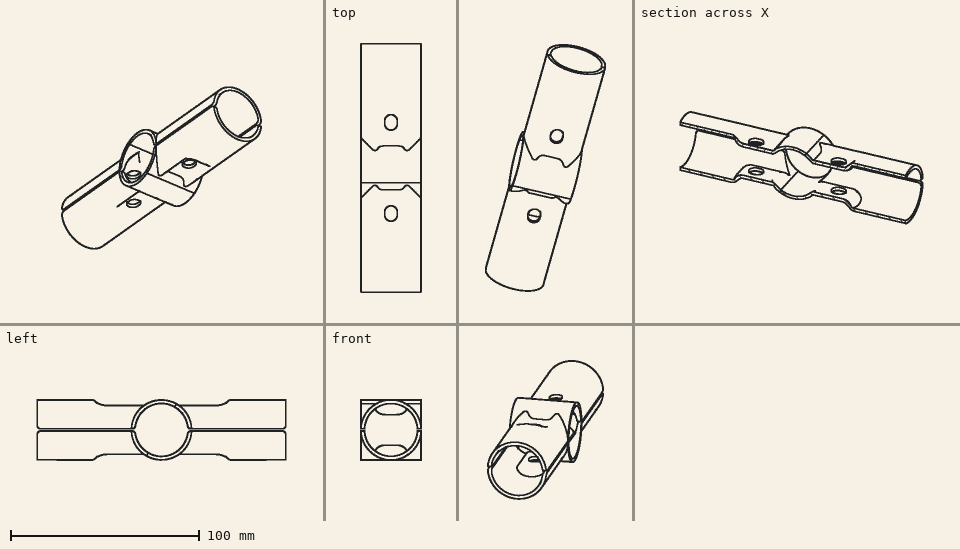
import cadquery as cq
import math

length = 132.0
outer_radius = 16.0
wall = 2.0
bore_radius = outer_radius - wall
half_length = length / 2
cross_half_width = outer_radius

half_gap = 0.5
corner_radius = 2.0

crown_half_angle = 30.0

floor_height = 10.0
floor_half_width = 3.3
floor_end = 29.0
floor_radius = 4.0
pocket_slope = 50.0
lip_radius = 2.0

rim_bottom = 13.3
rim_margin = 1.3

bulge_height = floor_height - wall
bulge_radius = floor_radius + wall
bulge_slope = 65.0

shoulder_face = 11.9
shoulder_radius = 4.8

slot_length = 8.0
slot_width = 6.6
slot_place = 24.2

beyond = outer_radius + 5.3


def cylinder_along_x(radius, half_width):
    return cq.Workplane("YZ").circle(radius).extrude(half_width, both=True)


def cylinder_along_y(radius):
    return cq.Workplane("XZ").circle(radius).extrude(-half_length)


def trough_wall(height, radius, slope_degrees):
    """Reach and height of the wall points: middle and end of the floor curve, then the top."""
    slope = math.radians(slope_degrees)
    middle = (radius * math.sin(slope / 2), height + radius * (1 - math.cos(slope / 2)))
    curve_end = (radius * math.sin(slope), height + radius * (1 - math.cos(slope)))
    top = (curve_end[0] + (beyond - curve_end[1]) / math.tan(slope), beyond)
    return middle, curve_end, top


def trough(height, radius, slope_degrees):
    """Everything above a flat floor with a curved, sloping wall on both sides and at the +Y end."""
    middle, curve_end, top = trough_wall(height, radius, slope_degrees)

    def half_section(plane):
        return (
            cq.Workplane(plane)
            .moveTo(0, height)
            .threePointArc(middle, curve_end)
            .lineTo(*top)
            .lineTo(0, beyond)
            .close()
        )

    body = (
        cq.Workplane("XY")
        .box(2 * floor_half_width, floor_end, beyond - height, centered=(True, False, False))
        .translate((0, 0, height))
    )
    side = half_section("XZ").extrude(-floor_end).translate((floor_half_width, 0, 0))
    end = half_section("YZ").extrude(floor_half_width, both=True).translate((0, floor_end, 0))
    corner = (
        half_section("XZ")
        .revolve(-90, (0, 0, 0), (0, 1, 0))
        .translate((floor_half_width, floor_end, 0))
    )
    return (
        body.union(side)
        .union(side.mirror("YZ"))
        .union(end)
        .union(corner)
        .union(corner.mirror("YZ"))
    )


def pocket():
    return trough(floor_height, floor_radius, pocket_slope)


def arm_tube():
    """Solid bar of the +Y arm with the open pocket and its rounded lip."""
    bar = cylinder_along_y(outer_radius).cut(pocket())
    rim_space = cq.selectors.BoxSelector(
        (-outer_radius, rim_margin, rim_bottom),
        (outer_radius, half_length - rim_margin, beyond),
    )
    return bar.edges(rim_space).fillet(lip_radius)


def shoulder():
    """Part of the cross tube that stays standing in front of the pocket, with a rounded top edge."""
    centre_y = shoulder_face - shoulder_radius
    centre_z = math.sqrt((outer_radius - shoulder_radius) ** 2 - centre_y**2)
    rise = beyond / centre_z
    block = (
        cq.Workplane("YZ")
        .polyline([(0, 0), (centre_y * rise, beyond), (0, beyond)])
        .close()
        .extrude(cross_half_width, both=True)
    )
    foot = cq.Workplane("XY").box(
        2 * cross_half_width, shoulder_face, centre_z, centered=(True, False, False)
    )
    rounding = cylinder_along_x(shoulder_radius, cross_half_width).translate((0, centre_y, centre_z))
    return block.union(foot).union(rounding)


def arm_passage():
    """Bore of the +Y arm, narrowed by the bulge under the pocket floor."""
    return cylinder_along_y(bore_radius).cut(trough(bulge_height, bulge_radius, bulge_slope))


def bulge_rounding():
    """Sliver removed where the underside of the bulge curves into the cross bore."""
    reach = bore_radius + bulge_radius
    centre_z = bulge_height + bulge_radius
    centre_y = math.sqrt(reach**2 - centre_z**2)
    touch = (centre_y * bore_radius / reach, centre_z * bore_radius / reach)
    middle_angle = (math.atan2(centre_z, centre_y) + math.pi / 2) / 2
    middle = (
        centre_y - bulge_radius * math.cos(middle_angle),
        centre_z - bulge_radius * math.sin(middle_angle),
    )
    return (
        cq.Workplane("YZ")
        .moveTo(centre_y, bulge_height)
        .threePointArc(middle, touch)
        .lineTo(0, bulge_height)
        .close()
        .extrude(bore_radius, both=True)
        .intersect(cylinder_along_y(bore_radius))
    )


def screw_slot():
    return (
        cq.Workplane("XY")
        .center(0, slot_place)
        .slot2D(slot_length, slot_width, 90)
        .extrude(beyond)
    )


def quadrant_envelope():
    """Space above the clamp gap, with round lower corners at the arm tip and at the cross bore."""
    round_top = half_gap + corner_radius
    inner_y = math.sqrt(bore_radius**2 - round_top**2)
    jaw = (
        cq.Workplane("XY")
        .box(4 * outer_radius, half_length - inner_y, beyond, centered=(True, False, False))
        .translate((0, inner_y, half_gap))
        .faces("<Z")
        .edges("|X")
        .fillet(corner_radius)
    )
    crown_space = (
        cq.Workplane("XY")
        .box(4 * outer_radius, inner_y, beyond, centered=(True, False, False))
        .translate((0, 0, round_top))
    )
    return jaw.union(crown_space)


def quadrant():
    """Upper +Y quarter of the clamp."""
    cross = cylinder_along_x(outer_radius, cross_half_width)
    cross = cross.cut(pocket().cut(shoulder()))
    solid = arm_tube().union(cross)
    for void in (
        cylinder_along_x(bore_radius, cross_half_width),
        arm_passage(),
        bulge_rounding(),
        screw_slot(),
    ):
        solid = solid.cut(void)
    return solid.intersect(quadrant_envelope())


def upper_half():
    """Both upper quarters in one piece, before the split at the crown edge."""
    quarter = quadrant()
    return quarter.union(quarter.mirror("XZ"))


def plain_arm_space():
    """Space on the -Y side, bounded by the edge of the crown."""
    crown_edge = beyond * math.tan(math.radians(crown_half_angle))
    return (
        cq.Workplane("YZ")
        .polyline([(0, 0), (-crown_edge, beyond), (-length, beyond), (-length, 0)])
        .close()
        .extrude(2 * cross_half_width, both=True)
    )


def crowned_arm():
    """+Y arm that carries the crown."""
    return upper_half().cut(plain_arm_space())


def plain_arm():
    """-Y arm that butts against the crown edge."""
    return upper_half().intersect(plain_arm_space())


upper_crowned_arm = crowned_arm()
upper_plain_arm = plain_arm()
crowned_arms = []
plain_arms = []
for turn in (0, 180):
    crowned_arms.append(upper_crowned_arm.rotate((0, 0, 0), (1, 0, 0), turn).solids().val())
    plain_arms.append(upper_plain_arm.rotate((0, 0, 0), (1, 0, 0), turn).solids().val())

result = cq.Compound.makeCompound([*crowned_arms, *plain_arms])